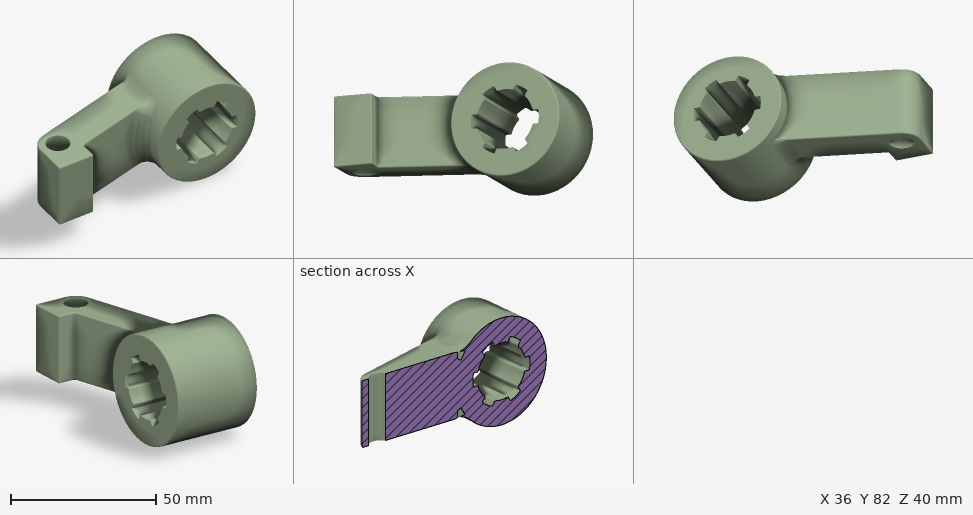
import cadquery as cq
import math

HUB_LENGTH = 33.0
HUB_RADIUS = 20.0
BORE_RADIUS = 10.5
SLOT_COUNT = 6
SLOT_WIDTH = 5.0
SLOT_RADIUS = 12.5
SLOT_BAR_LENGTH = 3 * SLOT_RADIUS
LAND_CORNER_RADIUS = 0.5

ARM_ANGLE = math.radians(15.0)
ARM_HEIGHT = 25.0
ARM_WIDTH = 14.0
ARM_ROOT_Y = -14.0
FOOT_END_X = 36.0
PIVOT_X = 24.0
PIVOT_Y = -55.0
PIVOT_HOLE_DIAMETER = 8.57
INNER_CORNER_RADIUS = 1.0

EDGE_RADIUS = 0.5
FLAT_JOINT_RADIUS = 7.0
INNER_JOINT_RADIUS = 5.0
OUTER_JOINT_RADIUS = 1.0
JOINT_SINK = 0.004
SIDE_STEPS = 6
CORNER_STEPS = 5
CORNER_BLEND_POWER = 4
ROOT_DEPTH = 0.4

ARM_HALF_WIDTH = ARM_WIDTH / 2
FOOT_INNER_Y = PIVOT_Y + ARM_HALF_WIDTH
FOOT_OUTER_Y = PIVOT_Y - ARM_HALF_WIDTH
INNER_SIDE = 1
OUTER_SIDE = -1


def arm_side_x(side, y):
    """X of the inner or outer side face of the arm at a given Y."""
    center_x = PIVOT_X - (y - PIVOT_Y) * math.tan(ARM_ANGLE)
    return center_x + side * ARM_HALF_WIDTH / math.cos(ARM_ANGLE)


def point_around_pivot(angle):
    """Point on the round end of the arm, with the angle counted from +X."""
    return (
        PIVOT_X + ARM_HALF_WIDTH * math.cos(angle),
        PIVOT_Y + ARM_HALF_WIDTH * math.sin(angle),
    )


def make_hub():
    return cq.Workplane("YZ").circle(HUB_RADIUS).extrude(HUB_LENGTH).edges().fillet(EDGE_RADIUS)


def make_bore_cutter():
    """Round bore with slots at equal angles; the slot ends follow a larger circle."""
    cutter = cq.Workplane("YZ").circle(BORE_RADIUS).extrude(HUB_LENGTH)
    slot_limit = cq.Workplane("YZ").circle(SLOT_RADIUS).extrude(HUB_LENGTH)
    for index in range(SLOT_COUNT // 2):
        slot_pair = (
            cq.Workplane("YZ")
            .rect(SLOT_BAR_LENGTH, SLOT_WIDTH)
            .extrude(HUB_LENGTH)
            .rotate((0, 0, 0), (1, 0, 0), index * 360 / SLOT_COUNT)
        )
        cutter = cutter.union(slot_pair.intersect(slot_limit))

    reach = (BORE_RADIUS + SLOT_RADIUS) / 2

    def is_land_corner(edge):
        middle = edge.Center()
        return math.hypot(middle.y, middle.z) < reach

    return cutter.edges("|X").filter(is_land_corner).fillet(LAND_CORNER_RADIUS)


def make_arm():
    round_start = math.pi + ARM_ANGLE
    round_end = 1.5 * math.pi
    inner_corner = (arm_side_x(INNER_SIDE, FOOT_INNER_Y), FOOT_INNER_Y)
    arm = (
        cq.Workplane("XY", origin=(0, 0, -ARM_HEIGHT / 2))
        .moveTo(arm_side_x(OUTER_SIDE, ARM_ROOT_Y), ARM_ROOT_Y)
        .lineTo(*point_around_pivot(round_start))
        .threePointArc(
            point_around_pivot((round_start + round_end) / 2),
            point_around_pivot(round_end),
        )
        .lineTo(FOOT_END_X, FOOT_OUTER_Y)
        .lineTo(FOOT_END_X, FOOT_INNER_Y)
        .lineTo(*inner_corner)
        .lineTo(arm_side_x(INNER_SIDE, ARM_ROOT_Y), ARM_ROOT_Y)
        .close()
        .extrude(ARM_HEIGHT)
    )
    corner_edge = cq.selectors.NearestToPointSelector((*inner_corner, 0))
    arm = arm.edges("|Z").edges(corner_edge).fillet(INNER_CORNER_RADIUS)
    arm = arm.edges("|Z").edges(">X").fillet(EDGE_RADIUS)
    return arm.faces("|Z").edges("not(>Y)").fillet(EDGE_RADIUS)


def arm_point(across, up, along):
    """Point in arm coordinates: along the arm away from the hub, across it toward +X, and up."""
    return cq.Vector(
        PIVOT_X + across * math.cos(ARM_ANGLE) + along * math.sin(ARM_ANGLE),
        PIVOT_Y + across * math.sin(ARM_ANGLE) - along * math.cos(ARM_ANGLE),
        up,
    )


def along_at_hub_distance(across, up, distance):
    """Place along the arm where the point (across, up) has this distance from the hub axis."""
    y = -math.sqrt(distance**2 - up**2)
    return (PIVOT_Y + across * math.sin(ARM_ANGLE) - y) / math.cos(ARM_ANGLE)


def joint_section(across, up, normal_angle, radius):
    """Closed section of the joint fillet at one point of the arm outline.

    A ball of the given radius touches both arm and hub. The section is bounded by the ball's arc
    between its two contacts and by two lines buried in the arm and the hub.
    """
    out_across = math.cos(normal_angle)
    out_up = math.sin(normal_angle)

    ball_across = across + radius * out_across
    ball_up = up + radius * out_up
    along = along_at_hub_distance(ball_across, ball_up, HUB_RADIUS + radius)
    ball = arm_point(ball_across, ball_up, along)

    sink_across = across - JOINT_SINK * out_across
    sink_up = up - JOINT_SINK * out_up
    arm_contact = arm_point(sink_across, sink_up, along)
    hub_scale = (HUB_RADIUS - JOINT_SINK) / (HUB_RADIUS + radius)
    hub_contact = cq.Vector(ball.x, ball.y * hub_scale, ball.z * hub_scale)

    half_sum = ((arm_contact - ball).normalized() + (hub_contact - ball).normalized()) / 2
    toward_corner = half_sum.normalized()
    tangent_meeting = radius / half_sum.Length
    arc_middle = ball + toward_corner * radius
    root = ball + toward_corner * (tangent_meeting + ROOT_DEPTH)
    return cq.Wire.assembleEdges(
        [
            cq.Edge.makeThreePointArc(arm_contact, arc_middle, hub_contact),
            cq.Edge.makeLine(hub_contact, root),
            cq.Edge.makeLine(root, arm_contact),
        ]
    )


def make_flat_joint(level):
    """Fillet between hub and the top (level 1) or bottom (level -1) face of the arm."""
    edge_across = ARM_HALF_WIDTH - EDGE_RADIUS
    sections = [
        joint_section(across, level * ARM_HEIGHT / 2, level * math.pi / 2, FLAT_JOINT_RADIUS)
        for across in (-edge_across, edge_across)
    ]
    return cq.Solid.makeLoft(sections, True)


def make_side_joint(side, radius):
    """Fillet between hub and one side face of the arm."""
    edge_up = ARM_HEIGHT / 2 - EDGE_RADIUS
    normal_angle = 0 if side == INNER_SIDE else math.pi
    sections = []
    for i in range(SIDE_STEPS + 1):
        up = edge_up * (2 * i / SIDE_STEPS - 1)
        sections.append(joint_section(side * ARM_HALF_WIDTH, up, normal_angle, radius))
    return cq.Solid.makeLoft(sections)


def make_corner_joint(side, level, side_radius):
    """Fillet around one rounded arm edge, blending from the side radius to the flat radius."""
    sections = []
    for i in range(CORNER_STEPS + 1):
        turn = math.pi / 2 * i / CORNER_STEPS
        out_across = side * math.cos(turn)
        out_up = level * math.sin(turn)
        across = side * (ARM_HALF_WIDTH - EDGE_RADIUS) + EDGE_RADIUS * out_across
        up = level * (ARM_HEIGHT / 2 - EDGE_RADIUS) + EDGE_RADIUS * out_up
        blend = math.sin(turn) ** CORNER_BLEND_POWER
        radius = side_radius + (FLAT_JOINT_RADIUS - side_radius) * blend
        sections.append(joint_section(across, up, math.atan2(out_up, out_across), radius))
    return cq.Solid.makeLoft(sections)


def make_joint_fillets():
    fillets = [make_flat_joint(level) for level in (-1, 1)]
    for side, radius in ((INNER_SIDE, INNER_JOINT_RADIUS), (OUTER_SIDE, OUTER_JOINT_RADIUS)):
        fillets.append(make_side_joint(side, radius))
        for level in (-1, 1):
            fillets.append(make_corner_joint(side, level, radius))
    return fillets


def make_pivot_hole_cutter():
    return (
        cq.Workplane("XY", origin=(PIVOT_X, PIVOT_Y, 0))
        .circle(PIVOT_HOLE_DIAMETER / 2)
        .extrude(ARM_HEIGHT, both=True)
    )


body = make_hub().union(make_arm())
for joint_fillet in make_joint_fillets():
    body = body.union(cq.Workplane(joint_fillet))
result = body.cut(make_bore_cutter()).cut(make_pivot_hole_cutter())